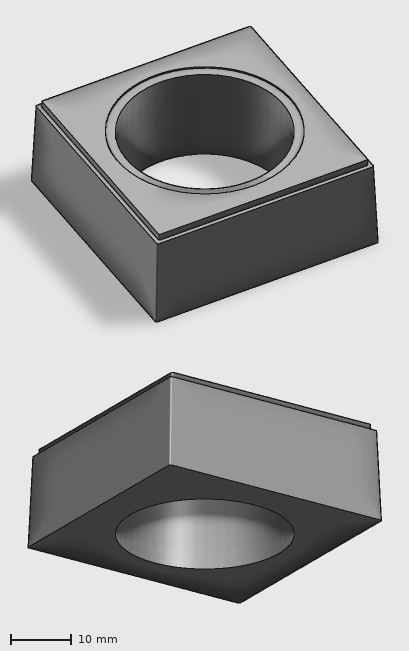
import cadquery as cq

base_side = 42.5
total_height = 17.5

body_top_side = 41.35
raised_side = 39.85
raised_height = 1.25
body_height = total_height - raised_height
corner_radius = 0.25

bore_diameter = 29.75
seat_diameter = 33.05
seat_depth = 0.3


def rounded_square(side):
    """Square outline centred on the origin with small corner rounds."""
    return cq.Sketch().rect(side, side).vertices().fillet(corner_radius)


body = (
    cq.Workplane("XY")
    .placeSketch(
        rounded_square(base_side),
        rounded_square(body_top_side).moved(cq.Location(cq.Vector(0, 0, body_height))),
    )
    .loft()
)

raised_square = (
    cq.Workplane("XY")
    .workplane(offset=body_height)
    .placeSketch(rounded_square(raised_side))
    .extrude(raised_height)
)

bore = cq.Workplane("XY").circle(bore_diameter / 2).extrude(total_height)
seat = (
    cq.Workplane("XY")
    .workplane(offset=total_height - seat_depth)
    .circle(seat_diameter / 2)
    .extrude(seat_depth)
)

result = body.union(raised_square).cut(bore).cut(seat)